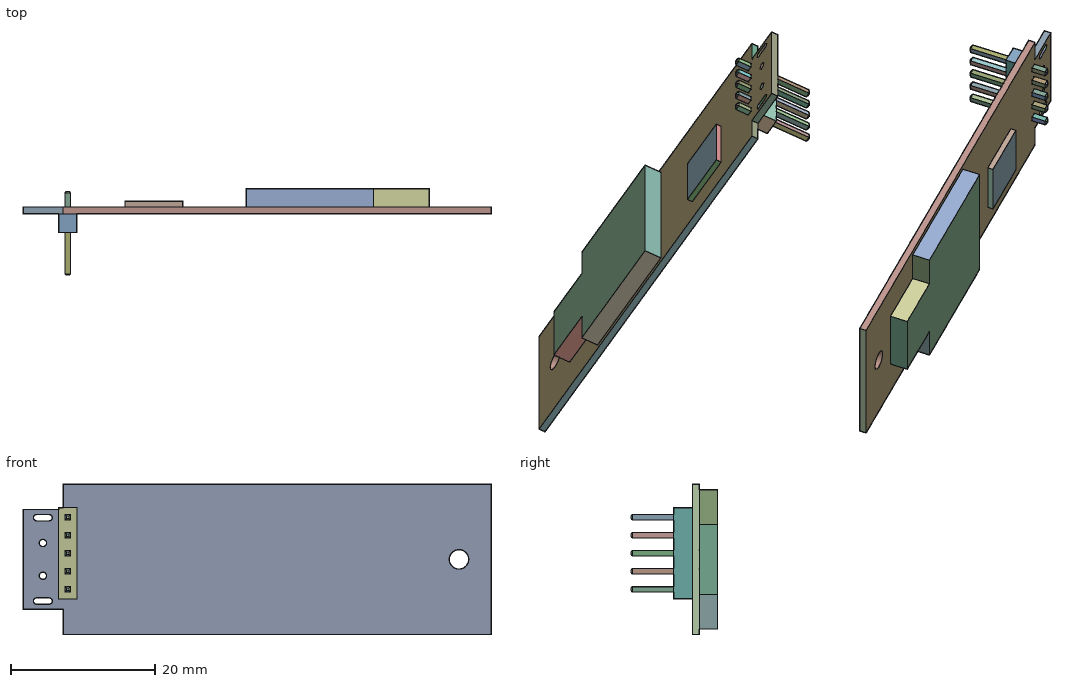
import cadquery as cq


board_length = 65.0
board_height = 20.9
board_thickness = 1.0
tab_length = 5.5
tab_height = 13.9
tab_hole_x = 2.7
slot_length = 2.6
slot_width = 0.85
slot_spacing = 11.6
tab_hole_diameter = 1.0
tab_hole_spacing = 4.55
mount_hole_diameter = 2.65
mount_hole_x = 60.5

pin_count = 5
pin_span = 10.0
pin_pitch = pin_span / (pin_count - 1)
pin_width = 0.8
pin_tip_chamfer = 0.2
pin_front_length = 5.9
pin_back_length = 2.15
header_width = 2.55
header_height = 12.7
header_depth = 2.6
header_x = 6.2
header_z = 0.85

chip_size = 8.05
chip_thickness = 0.8
chip_left = 14.1
chip_bottom = -6.75

module_left = 30.95
module_body_length = 17.7
module_length = 25.5
module_height = 19.4
module_tongue_height = 9.75
module_thickness = 2.55


def block(x_min, x_max, y_min, y_max, z_min, z_max):
    """Box given by its limits along each axis."""
    return cq.Workplane("XY").box(
        x_max - x_min, y_max - y_min, z_max - z_min, centered=False
    ).translate((x_min, y_min, z_min))


def centred_plate(x_min, x_max, y_min, thickness, height):
    """Box that is symmetric about the board's centreline."""
    return block(x_min, x_max, y_min, y_min + thickness, -height / 2, height / 2)


def through_board(outline):
    """Extrude an outline on the front face through the whole board."""
    return outline.extrude(-board_thickness)


def front_face(points):
    """Workplane on the board's front face with the given (X, Z) points selected."""
    return cq.Workplane("XZ").pushPoints(points)


def pin_centres():
    """(X, Z) centres of the header pins."""
    first_z = header_z - pin_span / 2
    return [(header_x, first_z + pin_pitch * i) for i in range(pin_count)]


def pair(x, spacing):
    """Two (X, Z) points set evenly about the board's centreline."""
    return [(x, -spacing / 2), (x, spacing / 2)]


def make_board():
    main = centred_plate(tab_length, board_length, 0, board_thickness, board_height)
    tab = centred_plate(0, tab_length, 0, board_thickness, tab_height)
    slots = front_face(pair(tab_hole_x, slot_spacing)).slot2D(slot_length, slot_width)
    tab_holes = front_face(pair(tab_hole_x, tab_hole_spacing)).circle(tab_hole_diameter / 2)
    mount_hole = front_face([(mount_hole_x, 0)]).circle(mount_hole_diameter / 2)
    pin_holes = front_face(pin_centres()).rect(pin_width, pin_width)
    board = main.union(tab)
    for opening in (slots, tab_holes, mount_hole, pin_holes):
        board = board.cut(through_board(opening))
    return board


def make_pin(x, z):
    """Square pin with chamfered tips, reaching through the header strip and the board."""
    half = pin_width / 2
    front = -header_depth - pin_front_length
    back = board_thickness + pin_back_length
    pin = block(x - half, x + half, front, back, z - half, z + half)
    return pin.faces("<Y or >Y").chamfer(pin_tip_chamfer)


def make_header():
    """Insulating strip and its pins, made as one body."""
    half_width = header_width / 2
    half_height = header_height / 2
    header = block(
        header_x - half_width, header_x + half_width,
        -header_depth, 0,
        header_z - half_height, header_z + half_height,
    )
    for x, z in pin_centres():
        header = header.union(make_pin(x, z))
    return header


def make_chip():
    return block(
        chip_left, chip_left + chip_size,
        board_thickness, board_thickness + chip_thickness,
        chip_bottom, chip_bottom + chip_size,
    )


def make_module():
    body_right = module_left + module_body_length
    module_right = module_left + module_length
    body = centred_plate(module_left, body_right, board_thickness, module_thickness, module_height)
    tongue = centred_plate(
        body_right, module_right, board_thickness, module_thickness, module_tongue_height
    )
    return body.union(tongue)


board = make_board()
header = make_header()
chip = make_chip()
module = make_module()

result = cq.Compound.makeCompound([board.val(), header.val(), chip.val(), module.val()])